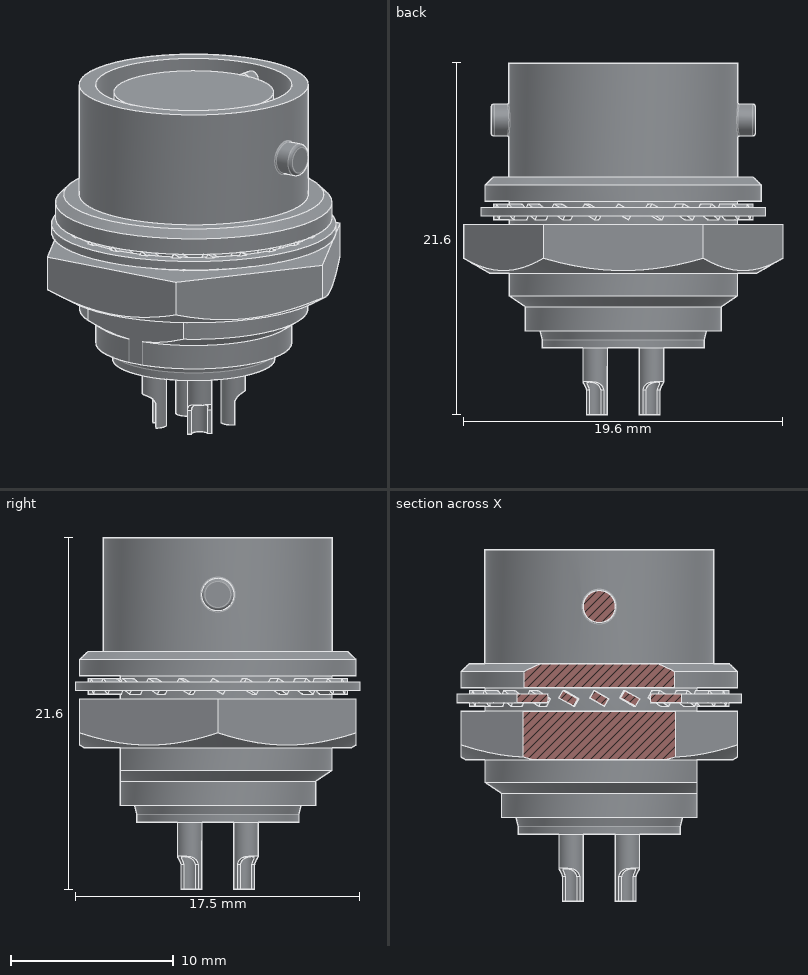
import cadquery as cq
import math

total_height = 21.6
shoulder_z = 14.6
flange_chamfer_z = 14.1
flange_bottom_z = 13.11
washer_mid_z = 12.46
nut_top_z = 11.69
nut_height = 3.0
thread_bottom_z = 7.3
thread_chamfer_end_z = 6.63
body_bottom_z = 5.15
spigot_taper_end_z = 4.6
spigot_bottom_z = 4.1

shell_radius = 7.05
nut_across_flats = 17.0
flange_radius = nut_across_flats / 2
flange_top_radius = 8.0
thread_radius = 7.02
body_radius = 6.03
spigot_top_radius = 5.12
spigot_radius = 5.0
flat_distance = 6.0

bore_radius = 6.03
bore_floor_z = shoulder_z
bore_fillet = 0.5
recess_radius = 5.23
recess_depth = 0.22
insert_top_z = 21.12
insert_radius = 4.9
groove_radius = 5.08
groove_bottom_radius = 4.95
groove_depth = 0.1

key_radius = 0.5
key_z = 20.63
key_tip_distance = 5.2

stud_radius = 1.0
stud_tip_distance = 8.12
stud_tip_fillet = 0.2
stud_base_fillet = 0.075
stud_z = 18.1

washer_thickness = 0.55
washer_radius = 8.75
washer_inner_radius = 7.78
tooth_count = 24
tooth_width = 1.04
tooth_twist = 30.0
tooth_outer_radius = 7.97
tooth_inner_radius = thread_radius - 0.05

nut_lower_face_radius = 8.2
nut_chamfer_angle = 30.0

cup_offset = 1.73
cup_radius = 0.75
cup_bore_radius = 0.5
cup_opening_z = 1.51
cup_runout_z = 2.03


wall_middle = (bore_radius + shell_radius) / 2


def cylinder(radius, bottom_z, top_z):
    return cq.Workplane("XY").workplane(offset=bottom_z).circle(radius).extrude(top_z - bottom_z)


def cone(bottom_radius, bottom_z, top_radius, top_z):
    profile = [(0, bottom_z), (bottom_radius, bottom_z), (top_radius, top_z), (0, top_z)]
    return cq.Workplane("XZ").polyline(profile).close().revolve(360, (0, 0), (0, 1))


def make_stud(side):
    """Bayonet stud pointing along +X (side = 1) or -X (side = -1)."""
    stud = (
        cq.Workplane("YZ", origin=(wall_middle, 0, stud_z))
        .circle(stud_radius)
        .extrude(stud_tip_distance - wall_middle)
        .faces(">X")
        .edges()
        .fillet(stud_tip_fillet)
    )
    return stud if side > 0 else stud.mirror("YZ")


def make_front():
    """Shell, bayonet studs and flange, ahead of the panel."""
    shell = cylinder(shell_radius, flange_bottom_z, total_height)
    for side in (-1, 1):
        shell = shell.union(make_stud(side))
    stud_bases = cq.selectors.BoxSelector(
        (-shell_radius, -stud_radius, stud_z - stud_radius),
        (shell_radius, stud_radius, stud_z + stud_radius),
    )
    shell = shell.edges(stud_bases).fillet(stud_base_fillet)
    rim = cylinder(flange_radius, flange_bottom_z, flange_chamfer_z)
    bevel = cone(flange_radius, flange_chamfer_z, flange_top_radius, shoulder_z)
    return shell.union(rim).union(bevel)


def make_rear():
    """Threaded body, cut by the keying flat, with the spigot below it."""
    thread = cylinder(thread_radius, thread_bottom_z, flange_bottom_z)
    thread_end = cone(body_radius, thread_chamfer_end_z, thread_radius, thread_bottom_z)
    body = cylinder(body_radius, body_bottom_z, thread_chamfer_end_z)
    beyond_flat = (
        cq.Workplane("XY")
        .workplane(offset=body_bottom_z)
        .center(0, -flat_distance - thread_radius / 2)
        .rect(2 * thread_radius, thread_radius)
        .extrude(flange_bottom_z - body_bottom_z)
    )
    spigot_taper = cone(spigot_radius, spigot_taper_end_z, spigot_top_radius, body_bottom_z)
    spigot = cylinder(spigot_radius, spigot_bottom_z, spigot_taper_end_z)
    return thread.union(thread_end).union(body).cut(beyond_flat).union(spigot_taper).union(spigot)


def make_bore():
    """Annular socket around the insert, with a stepped and grooved floor."""
    recess_z = bore_floor_z - recess_depth
    bore = cylinder(bore_radius, bore_floor_z, total_height).faces("<Z").edges().fillet(bore_fillet)
    recess = cylinder(recess_radius, recess_z, bore_floor_z)
    insert = cylinder(insert_radius, recess_z, insert_top_z)
    groove_profile = [
        (insert_radius, recess_z),
        (groove_bottom_radius, recess_z - groove_depth),
        (groove_radius, recess_z),
    ]
    groove = cq.Workplane("XZ").polyline(groove_profile).close().revolve(360, (0, 0), (0, 1))
    return bore.union(recess).cut(insert).union(groove)


def make_key():
    """Rib standing on the bore floor at +Y, with a half-round top."""
    rib_bottom_z = bore_floor_z - recess_depth
    return (
        cq.Workplane("XZ", origin=(0, wall_middle, 0))
        .moveTo(-key_radius, rib_bottom_z)
        .lineTo(-key_radius, key_z)
        .threePointArc((0, key_z + key_radius), (key_radius, key_z))
        .lineTo(key_radius, rib_bottom_z)
        .close()
        .extrude(wall_middle - key_tip_distance)
    )


def make_washer():
    ring_bottom_z = washer_mid_z - washer_thickness / 2
    washer = (
        cq.Workplane("XY")
        .workplane(offset=ring_bottom_z)
        .circle(washer_radius)
        .circle(washer_inner_radius)
        .extrude(washer_thickness)
    )
    tooth = (
        cq.Workplane("YZ", origin=(tooth_inner_radius, 0, washer_mid_z))
        .transformed(rotate=(0, 0, -tooth_twist))
        .rect(tooth_width, washer_thickness)
        .extrude(tooth_outer_radius - tooth_inner_radius)
    )
    for index in range(tooth_count):
        washer = washer.union(tooth.rotate((0, 0, 0), (0, 0, 1), index * 360 / tooth_count))
    return washer


def make_nut():
    nut_bottom_z = nut_top_z - nut_height
    corner_diameter = nut_across_flats / math.cos(math.pi / 6)
    chamfer_slope = math.tan(math.radians(nut_chamfer_angle))
    envelope_radius = nut_lower_face_radius + nut_height / chamfer_slope
    envelope = cone(nut_lower_face_radius, nut_bottom_z, envelope_radius, nut_top_z)
    hexagon = (
        cq.Workplane("XY").workplane(offset=nut_bottom_z).polygon(6, corner_diameter).extrude(nut_height)
    )
    return hexagon.intersect(envelope).cut(cylinder(thread_radius, nut_bottom_z, nut_top_z))


def make_solder_cup():
    """Cup on the Z axis, with its half-round opening facing +X."""
    cup = cylinder(cup_radius, 0, spigot_bottom_z).cut(cylinder(cup_bore_radius, 0, cup_runout_z))
    opening = (
        cq.Workplane("XZ", origin=(0, cup_radius, 0))
        .moveTo(0, 0)
        .lineTo(0, cup_opening_z)
        .radiusArc((cup_radius, cup_runout_z), cup_radius)
        .lineTo(2 * cup_radius, cup_runout_z)
        .lineTo(2 * cup_radius, 0)
        .close()
        .extrude(2 * cup_radius)
    )
    return cup.cut(opening)


result = make_front().union(make_rear()).cut(make_bore()).union(make_key())
result = result.union(make_nut()).union(make_washer())

cup_circle_radius = cup_offset * math.sqrt(2)
solder_cup = make_solder_cup().translate((cup_circle_radius, 0, 0))
for angle in (45, 135, 225, 315):
    result = result.union(solder_cup.rotate((0, 0, 0), (0, 0, 1), angle))